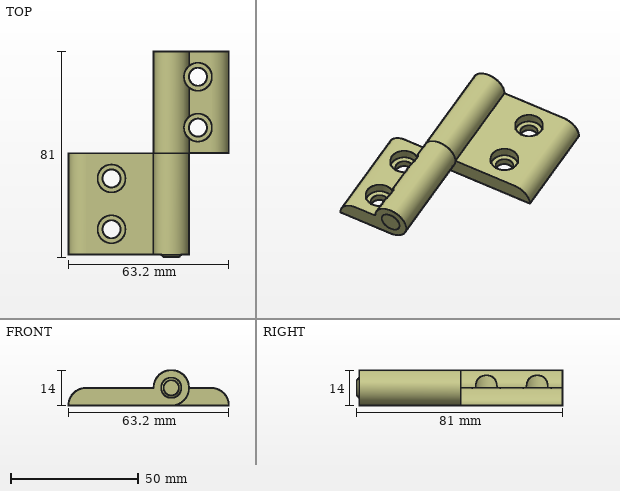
import cadquery as cq


leaf_length = 40.0
leaf_thickness = 7.0
barrel_radius = leaf_thickness
edge_radius = leaf_thickness
long_leaf_reach = 40.5
short_leaf_reach = 22.7

pin_radius = 4.0
pin_chamfer = 1.0
pin_protrusion = 1.0

hole_diameter = 7.0
counterbore_diameter = 11.0
counterbore_depth = 4.0
screw_spacing = 20.0
long_leaf_screw_x = -23.5
short_leaf_screw_x = 10.5

axis_height = barrel_radius
overall_height = axis_height + barrel_radius


def cylinder_along_y(radius, start_y, length):
    """Cylinder on the hinge axis, running from start_y towards +Y."""
    return (
        cq.Workplane("XZ", origin=(0, start_y, axis_height))
        .circle(radius)
        .extrude(-length)
    )


def make_plate(reach, side, start_y):
    """Flat leaf from the hinge axis out to a quarter-round outer edge; side is -1 or +1 in X."""
    edge_x = side * reach
    arc_start_x = side * (reach - edge_radius)
    return (
        cq.Workplane("XZ", origin=(0, start_y, 0))
        .moveTo(0, 0)
        .lineTo(edge_x, 0)
        .radiusArc((arc_start_x, leaf_thickness), side * -edge_radius)
        .lineTo(0, leaf_thickness)
        .close()
        .extrude(-leaf_length)
    )


def cut_screw_holes(leaf, screw_x, start_y):
    """Cut two counterbored holes, open upwards through anything above the leaf."""
    middle_y = start_y + leaf_length / 2
    floor_height = leaf_thickness - counterbore_depth
    for offset in (-screw_spacing / 2, screw_spacing / 2):
        screw_y = middle_y + offset
        hole = (
            cq.Workplane("XY", origin=(screw_x, screw_y, 0))
            .circle(hole_diameter / 2)
            .extrude(overall_height)
        )
        counterbore = (
            cq.Workplane("XY", origin=(screw_x, screw_y, floor_height))
            .circle(counterbore_diameter / 2)
            .extrude(overall_height - floor_height)
        )
        leaf = leaf.cut(hole).cut(counterbore)
    return leaf


def make_leaf(reach, side, screw_x, start_y):
    """Plate and barrel in one piece, bored for the pin and the screws."""
    leaf = make_plate(reach, side, start_y)
    leaf = leaf.union(cylinder_along_y(barrel_radius, start_y, leaf_length))
    leaf = leaf.cut(cylinder_along_y(pin_radius, start_y, leaf_length))
    return cut_screw_holes(leaf, screw_x, start_y)


def make_pin():
    """Pin through both barrels, its chamfered tip standing out of the -Y end."""
    start_y = -leaf_length - pin_protrusion
    pin = cylinder_along_y(pin_radius, start_y, 2 * leaf_length + pin_protrusion)
    return pin.faces("<Y").chamfer(pin_chamfer)


long_leaf = make_leaf(long_leaf_reach, -1, long_leaf_screw_x, -leaf_length)
short_leaf = make_leaf(short_leaf_reach, 1, short_leaf_screw_x, 0)
pin = make_pin()

result = cq.Compound.makeCompound([
    long_leaf.solids().val(),
    short_leaf.solids().val(),
    pin.solids().val(),
])